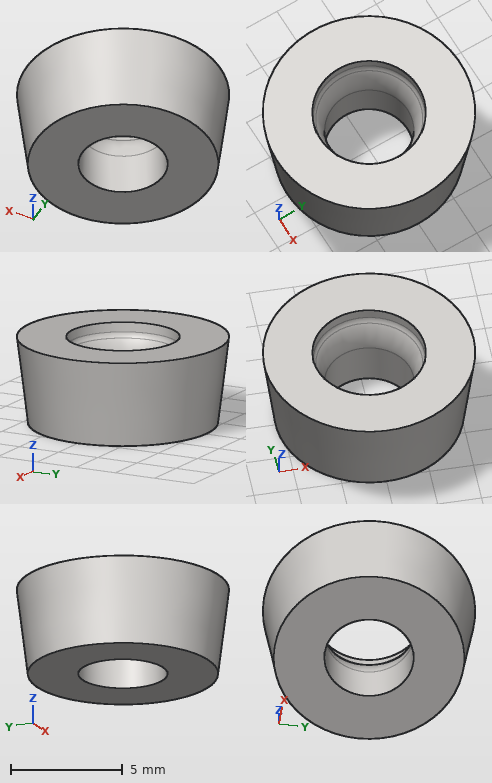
import cadquery as cq
import math

top_diameter = 9.52
height = 3.97
relief_angle = 7.1

mouth_diameter = 5.08
blend_diameter = 5.02
seat_diameter = 4.79
bore_diameter = 4.0

mouth_depth = 0.43
seat_start_depth = 0.69
bore_start_depth = 1.9

top_radius = top_diameter / 2
bottom_radius = top_radius - height * math.tan(math.radians(relief_angle))
bore_top = (bore_diameter / 2, height - bore_start_depth)
seat_top = (seat_diameter / 2, height - seat_start_depth)
blend_top = (blend_diameter / 2, height - mouth_depth)

half_section = (
    cq.Workplane("XZ")
    .moveTo(bottom_radius, 0)
    .lineTo(bore_diameter / 2, 0)
    .lineTo(*bore_top)
    .tangentArcPoint(seat_top, relative=False)
    .tangentArcPoint(blend_top, relative=False)
    .lineTo(mouth_diameter / 2, height)
    .lineTo(top_radius, height)
    .close()
)
result = half_section.revolve(360, (0, 0, 0), (0, 1, 0))